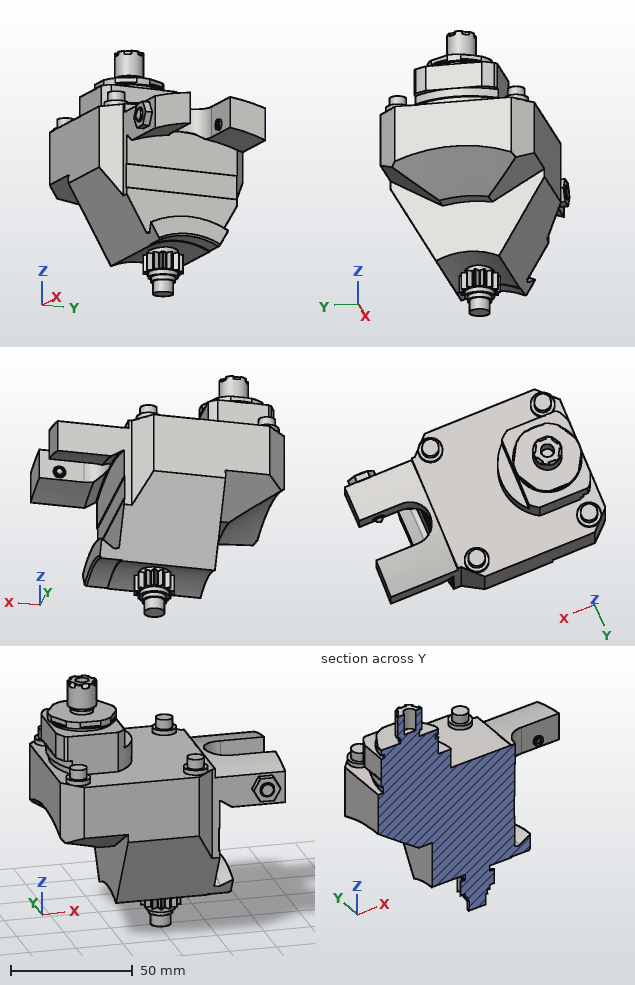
import cadquery as cq
import math


housing_half = 32.5
left_chamfer = 8.0
right_chamfer = 7.5
right_chamfer_inset = 0.5
clamp_half_width = housing_half - right_chamfer
clamp_start_x = 33.4
rear_face_x = 35.3
nose_end_x = -5.8
nose_side_z = -22.3
nose_side_angle = 30
wedge_side_z = -25.8
wedge_side_angle = 60
depth_limit = 65.0

turning_axis_z = -87.0
nose_front_radius = 67.5
nose_rear_radius = 53.0
nose_cone_end_x = -12.3
bore_radius = 31.0

clamp_top_radius = 87.0
clamp_bottom_radius = 31.35
arm_end_x = 63.25
arm_bottom_radius = 74.1
arm_root_radius = 77.0
arm_slope_start_x = 35.8
arm_slope_end_x = 40.5
hook_end_x = 43.0
hook_floor_radius = 36.0
hook_floor_end_x = 37.8
hook_tip_radius = 39.4
hook_floor_rise = 0.4
hook_floor_sag = 0.35
hook_end_chamfer = 0.8
arm_slot_radius = 9.0
arm_slot_bottom_z = -37.6
arm_slot_center_x = 44.5
relief_depth = 0.3
relief_top_z = -26.0
relief_bottom_z = -36.0

shaft_offset = 16.75
boss_half_x = 14.25
boss_half_y = 17.5
boss_round_radius = 20.5
boss_corner_radius = 33.2
boss_step_z = 9.2
boss_top_z = 17.2
foot_radius = 30.0
foot_top_z = 2.9
ledge_radius = 31.0
ledge_top_z = 6.5
neck_diameter = 25.4
flange_bottom_z = 18.7
flange_top_z = 21.5
flange_diameter = 28.4
flange_flat_distance = 13.5
flange_flat_bottom_z = 19.4
spindle_groove_diameter = 9.46
spindle_groove_top_z = 23.1
spindle_collar_diameter = 10.0
spindle_collar_top_z = 24.3
spindle_diameter = 12.0
spindle_top_z = 35.0
spindle_edge_chamfer = 0.3
spindle_hole_diameter = 5.47
spindle_hole_depth = 10.0
notch_width = 3.0
notch_inner_distance = 4.8
notch_outer_distance = 6.0
notch_depth = 1.7
notch_count = 6

screw_offset = 25.0
screw_head_diameter = 10.0
screw_head_height = 2.0
screw_stud_diameter = 7.0
screw_stud_top_z = 6.2

shaft_collar_diameter = 12.3
shaft_collar_bottom_z = -67.5
shaft_step_diameter = 10.0
shaft_step_bottom_z = -69.4
shaft_tip_diameter = 8.5
shaft_tip_z = -74.5
shaft_root_z = -50.0
pinion_top_z = -58.4
pinion_bottom_z = -65.5
pinion_teeth = 14
pinion_root_radius = 6.3
pinion_tip_radius = 8.4
tooth_tip_width = 0.4
tooth_root_width = 2.4

plunger_x = 54.75
plunger_z = -9.9
nut_across_flats = 10.0
nut_height = 3.0
plunger_diameter = 6.0
plunger_end_height = 3.6
plunger_end_chamfer = 0.5
plunger_collar_diameter = 5.1
plunger_collar_height = 0.5
plunger_collar_chamfer = 0.4
ball_radius = 1.5
ball_reach = 2.0
set_screw_x = 52.7
set_screw_diameter = 4.4
set_screw_height = 0.9
set_screw_socket_diameter = 2.5
set_screw_socket_depth = 0.6


def block(x_range, y_range, z_range):
    """Box between two limits along each axis."""
    size = [high - low for low, high in (x_range, y_range, z_range)]
    corner = (x_range[0], y_range[0], z_range[0])
    return cq.Workplane("XY").box(*size, centered=False).translate(corner)


def rod(x, y, diameter, bottom_z, top_z):
    """Vertical cylinder."""
    disc = cq.Workplane("XY", origin=(x, y, bottom_z)).circle(diameter / 2)
    return disc.extrude(top_z - bottom_z)


def arm_rod(x, y, diameter, length):
    """Cylinder from y toward -Y, at the height of the arm screws."""
    return cq.Workplane("XZ", origin=(x, y, plunger_z)).circle(diameter / 2).extrude(length)


def hexagon_prism(workplane, across_flats, height):
    """Hexagonal prism with two corners on the X direction of the workplane."""
    corner_radius = across_flats / math.sqrt(3)
    corner_angles = [math.radians(60 * index) for index in range(6)]
    corners = [
        (corner_radius * math.cos(angle), corner_radius * math.sin(angle)) for angle in corner_angles
    ]
    return workplane.polyline(corners).close().extrude(height)


def turned(profile):
    """Revolve a closed XZ profile, drawn with radius as height, about the turning axis."""
    return profile.close().revolve(360, (0, 0), (1, 0)).translate((0, 0, turning_axis_z))


def turning_profile(start):
    return cq.Workplane("XZ").moveTo(*start)


def tapered_prism(side_z, angle, x_start, x_end):
    """Prism along X whose sides lean inward below side_z, at an angle to the horizontal."""
    lower_half = housing_half - (depth_limit + side_z) / math.tan(math.radians(angle))
    apex_z = side_z - housing_half * math.tan(math.radians(angle))
    profile = cq.Workplane("YZ", origin=(x_start, 0, 0)).moveTo(-housing_half, 0)
    profile = profile.lineTo(-housing_half, side_z)
    if lower_half > 0:
        profile = profile.lineTo(-lower_half, -depth_limit).lineTo(lower_half, -depth_limit)
    else:
        profile = profile.lineTo(0, apex_z)
    profile = profile.lineTo(housing_half, side_z).lineTo(housing_half, 0)
    return profile.close().extrude(x_end - x_start)


def make_housing():
    left_corner = housing_half - left_chamfer
    right_corner = housing_half - right_chamfer
    side = [
        (-housing_half, left_corner),
        (-left_corner, housing_half),
        (right_corner - right_chamfer_inset, housing_half),
        (housing_half - right_chamfer_inset, clamp_half_width),
        (clamp_start_x, clamp_half_width),
    ]
    outline = side + [(x, -y) for x, y in reversed(side)]
    prism = cq.Workplane("XY").polyline(outline).close().extrude(-depth_limit)
    nose = tapered_prism(nose_side_z, nose_side_angle, -housing_half, nose_end_x)
    wedge = tapered_prism(wedge_side_z, wedge_side_angle, nose_end_x, clamp_start_x)
    hollow = turned(
        turning_profile((-housing_half, 0))
        .lineTo(-housing_half, nose_front_radius)
        .lineTo(nose_cone_end_x, nose_rear_radius)
        .lineTo(nose_end_x, nose_rear_radius)
        .lineTo(nose_end_x, bore_radius)
        .lineTo(clamp_start_x, bore_radius)
        .lineTo(clamp_start_x, 0)
    )
    return prism.intersect(nose.union(wedge)).cut(hollow)


def make_clamp():
    across = (-clamp_half_width, clamp_half_width)
    blank = block((clamp_start_x, arm_end_x), across, (-depth_limit, 0))
    wedge = tapered_prism(wedge_side_z, wedge_side_angle, clamp_start_x, arm_end_x)
    floor_start_radius = hook_floor_radius + hook_floor_rise
    floor_mid_x = (rear_face_x + hook_floor_end_x) / 2
    floor_mid_radius = hook_floor_radius + hook_floor_rise / 2 - hook_floor_sag
    section = turned(
        turning_profile((clamp_start_x, clamp_bottom_radius))
        .lineTo(hook_end_x - hook_end_chamfer, clamp_bottom_radius)
        .lineTo(hook_end_x, clamp_bottom_radius + hook_end_chamfer)
        .lineTo(hook_end_x, hook_tip_radius)
        .lineTo(hook_floor_end_x, hook_floor_radius)
        .threePointArc((floor_mid_x, floor_mid_radius), (rear_face_x, floor_start_radius))
        .lineTo(rear_face_x, arm_root_radius)
        .lineTo(arm_slope_start_x, arm_root_radius)
        .lineTo(arm_slope_end_x, arm_bottom_radius)
        .lineTo(arm_end_x, arm_bottom_radius)
        .lineTo(arm_end_x, clamp_top_radius)
        .lineTo(clamp_start_x, clamp_top_radius)
    )
    clamp = blank.intersect(wedge).intersect(section)

    slot_end = rod(arm_slot_center_x, 0, 2 * arm_slot_radius, arm_slot_bottom_z, 0)
    slot_sides = (-arm_slot_radius, arm_slot_radius)
    slot = block((arm_slot_center_x, arm_end_x), slot_sides, (arm_slot_bottom_z, 0))
    relief = block((rear_face_x - relief_depth, rear_face_x), across, (relief_bottom_z, relief_top_z))
    return clamp.cut(slot_end).cut(slot).cut(relief)


def make_spindle_boss():
    """Flat-sided boss with rounded corners on a round foot and ledge at the housing edge."""
    left_x = -shaft_offset - boss_half_x
    right_x = -shaft_offset + boss_half_x
    round_end_x = -shaft_offset + boss_round_radius
    across = (-boss_half_y, boss_half_y)
    round_bar = rod(-shaft_offset, 0, 2 * boss_round_radius, 0, boss_top_z)

    upper = block((left_x, right_x), across, (ledge_top_z, boss_top_z))
    upper = upper.intersect(rod(0, 0, 2 * boss_corner_radius, 0, boss_top_z))
    upper = upper.intersect(round_bar)
    shoulder = block((-shaft_offset, round_end_x), across, (0, boss_step_z)).intersect(round_bar)

    lower_range = (left_x, -shaft_offset)
    foot = block(lower_range, across, (0, foot_top_z))
    foot = foot.intersect(rod(0, 0, 2 * foot_radius, 0, foot_top_z))
    ledge = block(lower_range, across, (foot_top_z, ledge_top_z))
    ledge = ledge.intersect(rod(0, 0, 2 * ledge_radius, foot_top_z, ledge_top_z))
    return foot.union(ledge).union(shoulder).union(upper)


def make_flange():
    flange = rod(-shaft_offset, 0, flange_diameter, flange_bottom_z, flange_top_z)
    flat_level = cq.Workplane("XY", origin=(-shaft_offset, 0, flange_flat_bottom_z))
    hexagon = hexagon_prism(flat_level, 2 * flange_flat_distance, flange_top_z - flange_flat_bottom_z)
    rim = rod(-shaft_offset, 0, flange_diameter, flange_bottom_z, flange_flat_bottom_z)
    neck = rod(-shaft_offset, 0, neck_diameter, boss_top_z, flange_bottom_z)
    return flange.intersect(hexagon.union(rim)).union(neck)


def make_spindle():
    groove = rod(-shaft_offset, 0, spindle_groove_diameter, flange_top_z, spindle_groove_top_z)
    collar = rod(
        -shaft_offset, 0, spindle_collar_diameter, spindle_groove_top_z, spindle_collar_top_z
    )
    head = rod(-shaft_offset, 0, spindle_diameter, spindle_collar_top_z, spindle_top_z)
    head = head.faces(">Z").edges().chamfer(spindle_edge_chamfer)
    notch = (
        cq.Workplane("YZ", origin=(-notch_width / 2, 0, 0))
        .moveTo(notch_inner_distance, spindle_top_z)
        .lineTo(notch_outer_distance, spindle_top_z - notch_depth)
        .lineTo(spindle_diameter, spindle_top_z - notch_depth)
        .lineTo(spindle_diameter, spindle_top_z)
        .close()
        .extrude(notch_width)
    )
    for index in range(notch_count):
        turn = index * 360 / notch_count
        head = head.cut(notch.rotate((0, 0, 0), (0, 0, 1), turn).translate((-shaft_offset, 0, 0)))
    hole_bottom_z = spindle_top_z - spindle_hole_depth
    hole = rod(-shaft_offset, 0, spindle_hole_diameter, hole_bottom_z, spindle_top_z)
    return groove.union(collar).union(head.cut(hole))


def make_mounting_screw(x, y):
    head = rod(x, y, screw_head_diameter, 0, screw_head_height)
    return head.union(rod(x, y, screw_stud_diameter, screw_head_height, screw_stud_top_z))


def make_pinion():
    pinion_height = pinion_top_z - pinion_bottom_z
    pinion = rod(0, 0, 2 * pinion_root_radius, pinion_bottom_z, pinion_top_z)
    tooth = (
        cq.Workplane("XY", origin=(0, 0, pinion_bottom_z))
        .moveTo(0, -tooth_root_width / 2)
        .lineTo(pinion_root_radius, -tooth_root_width / 2)
        .lineTo(pinion_tip_radius, -tooth_tip_width / 2)
        .lineTo(pinion_tip_radius, tooth_tip_width / 2)
        .lineTo(pinion_root_radius, tooth_root_width / 2)
        .lineTo(0, tooth_root_width / 2)
        .close()
        .extrude(pinion_height)
    )
    for index in range(pinion_teeth):
        turn = index * 360 / pinion_teeth
        pinion = pinion.union(tooth.rotate((0, 0, 0), (0, 0, 1), turn))
    return pinion.translate((shaft_offset, 0, 0))


def make_drive_shaft():
    collar = rod(shaft_offset, 0, shaft_collar_diameter, shaft_collar_bottom_z, shaft_root_z)
    step = rod(shaft_offset, 0, shaft_step_diameter, shaft_step_bottom_z, shaft_collar_bottom_z)
    tip = rod(shaft_offset, 0, shaft_tip_diameter, shaft_tip_z, shaft_step_bottom_z)
    return collar.union(make_pinion()).union(step).union(tip)


def make_plunger():
    """Hexagon nut and screw end outside the -Y arm, ball and collar inside it."""
    outer_face = cq.Workplane("XZ", origin=(plunger_x, -clamp_half_width, plunger_z))
    nut = hexagon_prism(outer_face, nut_across_flats, nut_height)
    screw_end = arm_rod(plunger_x, -clamp_half_width, plunger_diameter, plunger_end_height)
    screw_end = screw_end.faces("<Y").edges().chamfer(plunger_end_chamfer)

    inner_y = -arm_slot_radius
    collar_y = inner_y + plunger_collar_height
    collar = arm_rod(plunger_x, collar_y, plunger_collar_diameter, 2 * plunger_collar_height)
    collar = collar.faces(">Y").edges().chamfer(plunger_collar_chamfer)
    ball_y = inner_y + ball_reach - ball_radius
    ball = cq.Workplane("XY").sphere(ball_radius).translate((plunger_x, ball_y, plunger_z))
    return nut.union(screw_end).union(collar).union(ball)


def make_set_screw():
    """Set screw with a round socket, standing out of the inner face of the +Y arm."""
    end_y = arm_slot_radius - set_screw_height
    screw = arm_rod(set_screw_x, arm_slot_radius, set_screw_diameter, set_screw_height)
    socket = arm_rod(
        set_screw_x, end_y + set_screw_socket_depth, set_screw_socket_diameter, set_screw_socket_depth
    )
    return screw.cut(socket)


result = make_housing().union(make_clamp())
result = result.union(make_spindle_boss()).union(make_flange()).union(make_spindle())
for side_x in (-screw_offset, screw_offset):
    for side_y in (-screw_offset, screw_offset):
        result = result.union(make_mounting_screw(side_x, side_y))
result = result.union(make_drive_shaft()).union(make_plunger()).union(make_set_screw())